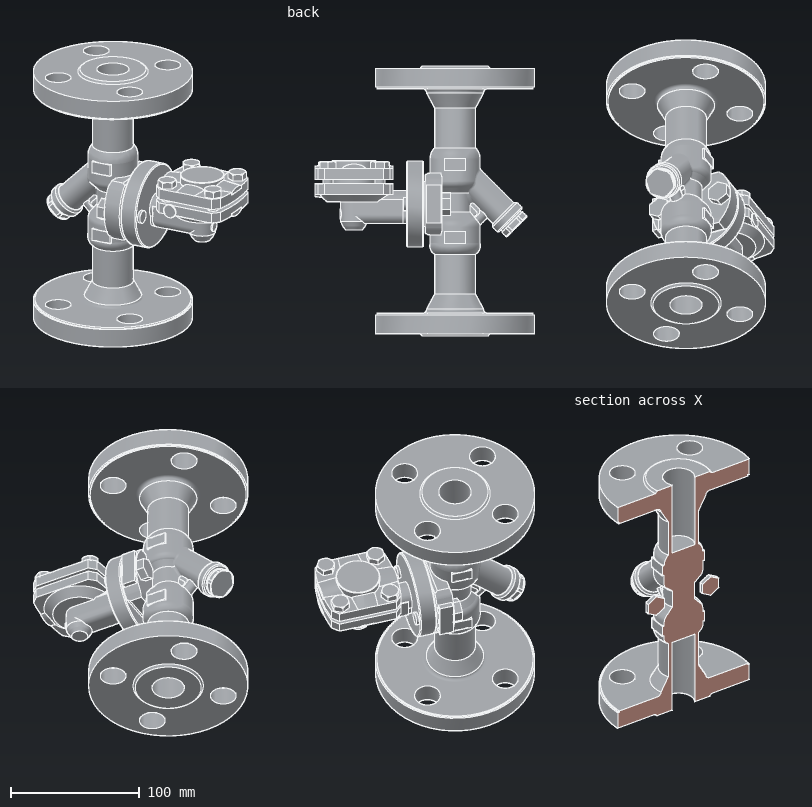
import cadquery as cq
import math

total_height = 210.0
pipe_dia = 32.0
bore_dia = 25.0
bore_depth = 63.0

flange_dia = 124.0
flange_thick = 16.0
flange_edge = 1.3
face_dia = 54.5
face_height = 1.9
face_chamfer = 1.7
flange_hole_dia = 20.0
flange_hole_offset = 31.5
hub_dia = 44.5
hub_root_dia = 50.8
hub_taper_end = 72.2

body_dia = 39.0
body_end = 41.4
body_shoulder = 33.0
upper_chamber_bottom = 15.8
lower_chamber_top = -20.5
neck_dia = 25.0
neck_top = 6.0
neck_bottom = -8.5
waist_r = 16.5
upper_waist_z = 10.3
lower_waist_z = -13.9
bend_r = 18.7
upper_bend_z = 12.4
lower_bend_z = -16.5
upper_end_bend_z = 37.4
lower_end_bend_z = -38.6
wrench_pad_width = 16.2
wrench_pad_reach = 19.7
wrench_pad_height = 9.5

branch_start_z = 28.0
branch_dia = 23.0
collar_dia = 27.0
plug_neck_dia = 21.0
plug_flat_width = 20.8
plug_dia = 22.7
plug_rim = 0.6
collar_start = 53.0
collar_end = 61.0
plug_start = 62.5
plug_end = 67.8
collar_lead_chamfer = 1.7
collar_chamfer = 1.0
branch_fillet = 2.0
bypass_dia = 9.5
bypass_offset = -16.0
bypass_start = 25.2
bypass_end = 40.5
bypass_end_fillet = 3.2
bypass_web_thick = 8.5
bridge_centre = (-21.0, 0, -10.5)
bridge_half_length = 8.5

branch_start = (0, 0, branch_start_z)
branch_direction = (-1, 0, -1)

joint_z = -2.3
joint_dia = 67.0
body_flange_start = 10.0
body_flange_end = 23.3
body_flange_diamond = 46.8
body_flange_corner_fillet = 12.5
body_flange_face_half = 20.4
body_flange_ridge_half = 24.0
body_flange_back_half = 22.7
ridge_start = 11.1
ridge_end = 21.0
pad_half_height = 15.0
pad_reach = 34.0
pad_inset = 1.0
gasket_dia = 35.0
trap_flange_start = 24.4
trap_flange_end = 37.8
trap_flange_chamfer = 0.8
joint_bolt_spacing = 50.8
joint_bolt_dia = 10.0
joint_head_width = 15.3
joint_head_height = 6.5
joint_bolt_end = 40.0

trap_x = 78.5
plate_half = 28.1
plate_bulge = 2.3
plate_corner = 5.0
upper_plate_bottom = 16.5
upper_plate_top = 25.2
lower_plate_bottom = 5.2
lower_plate_top = 13.5
trap_seat_dia = 33.0
cap_dia = 34.0
cap_top = 31.5
cap_chamfer = 0.5
cover_bolt_offset = 20.2
cover_spacer_dia = 8.0
cover_head_width = 12.5
cover_head_top = 30.7
rib_inner_width = 18.7
rib_outer_width = 16.0
rib_inner_radius = 14.7
rib_bow_height = 0.9
rib_edge_height = 0.1
upper_rib_inner_height = 2.0
lower_rib_inner_height = 1.8
head_chamfer = 0.8
base_cone_dia = 55.5
base_cone_end_dia = 42.0
base_cone_bottom = -0.6
tag_dia = 10.5
tag_x = 65.0
tag_z = 8.5
tag_height = 0.8

arm_width = 21.0
arm_top = 1.3
arm_bottom = -17.6
arm_fillet = 7.0
arm_start = 40.5
arm_neck_width = 18.0
arm_neck_fillet = 5.9
inlet_dia = 21.0
inlet_end = 63.0
boss_dia = 21.0
boss_straight_end = -16.0
boss_step_dia = 16.8
boss_step_z = -20.2
boss_tip_dia = 12.5
boss_tip_z = -22.7
outlet_pad_dia = 8.0
outlet_pad_z = -10.0
outlet_pad_height = 0.5


def cylinder_between(start, direction, from_dist, to_dist, dia):
    """Cylinder along a direction, between two distances from the start point."""
    plane = cq.Plane(origin=start, normal=direction)
    return cq.Workplane(plane).workplane(offset=from_dist).circle(dia / 2).extrude(to_dist - from_dist)


def hex_head(plane, flat_width, height, turn=0, chamfer=0.0):
    """Hexagonal head on a plane, with its free corners rounded off by a chamfered disc."""
    corner_dia = flat_width / math.cos(math.radians(30))
    head = cq.Workplane(plane).transformed(rotate=(0, 0, turn)).polygon(6, corner_dia).extrude(height)
    if chamfer:
        disc = cq.Workplane(plane).circle(corner_dia / 2).extrude(height)
        free_end = cq.selectors.DirectionMinMaxSelector(plane.zDir, True)
        head = head.intersect(disc.faces(free_end).chamfer(chamfer))
    return head


def end_flange():
    """Top end flange with its hub and raised face."""
    top = total_height / 2
    flange_top = top - face_height
    flange_bottom = flange_top - flange_thick
    radius = flange_dia / 2
    face_radius = face_dia / 2
    hub_radius = hub_dia / 2
    root_fillet = (hub_root_dia - hub_dia) / 2
    fillet_rise = root_fillet * (1 - math.sqrt(0.5))
    flange = (
        cq.Workplane("XZ")
        .moveTo(0, body_end)
        .lineTo(pipe_dia / 2, body_end)
        .lineTo(pipe_dia / 2, hub_taper_end)
        .lineTo(hub_radius, flange_bottom - root_fillet)
        .threePointArc(
            (hub_radius + fillet_rise, flange_bottom - fillet_rise),
            (hub_radius + root_fillet, flange_bottom),
        )
        .lineTo(radius - flange_edge, flange_bottom)
        .lineTo(radius - flange_edge, flange_bottom + flange_edge)
        .lineTo(radius, flange_bottom + flange_edge)
        .lineTo(radius, flange_top)
        .lineTo(face_radius, flange_top)
        .lineTo(face_radius - face_chamfer, top)
        .lineTo(0, top)
        .close()
        .revolve(360, (0, 0), (0, 1))
    )
    holes = (
        cq.Workplane("XY", origin=(0, 0, flange_bottom))
        .rect(2 * flange_hole_offset, 2 * flange_hole_offset, forConstruction=True)
        .vertices()
        .circle(flange_hole_dia / 2)
        .extrude(flange_thick)
    )
    return flange.cut(holes)


def turned_body():
    """Two rounded chambers joined by a narrow neck."""
    body_r = body_dia / 2
    pipe_r = pipe_dia / 2
    neck_r = neck_dia / 2
    return (
        cq.Workplane("XZ")
        .moveTo(0, -body_end)
        .lineTo(pipe_r, -body_end)
        .threePointArc((bend_r, lower_end_bend_z), (body_r, -body_shoulder))
        .lineTo(body_r, lower_chamber_top)
        .threePointArc((bend_r, lower_bend_z), (waist_r, lower_waist_z))
        .lineTo(neck_r, neck_bottom)
        .lineTo(neck_r, neck_top)
        .lineTo(waist_r, upper_waist_z)
        .threePointArc((bend_r, upper_bend_z), (body_r, upper_chamber_bottom))
        .lineTo(body_r, body_shoulder)
        .threePointArc((bend_r, upper_end_bend_z), (pipe_r, body_end))
        .lineTo(0, body_end)
        .close()
        .revolve(360, (0, 0), (0, 1))
    )


def wrench_pads():
    """One bar per chamber whose ends form the raised flat pads on the -Y and +Y sides."""
    bar = cq.Workplane("XY").box(wrench_pad_width, 2 * wrench_pad_reach, wrench_pad_height)
    middle = body_shoulder - wrench_pad_height / 2
    return bar.translate((0, 0, middle)).union(bar.translate((0, 0, -middle)))


def branched_body():
    """Turned body with the inclined branch tube, blended where the two meet."""
    tube = cylinder_between(branch_start, branch_direction, 0, collar_start, branch_dia)
    joined = turned_body().union(tube)
    joint_edges = [
        edge
        for edge in joined.edges().vals()
        if edge.geomType() not in ("LINE", "CIRCLE") and edge.Center().x < 0
    ]
    return joined.newObject(joint_edges).fillet(branch_fillet)


def strainer_fittings():
    """Collar and plug on the inclined branch, with the bypass passage and its bridge to the body."""
    start = branch_start
    direction = branch_direction
    plug_plane = cq.Plane(origin=start, xDir=(0, 1, 0), normal=direction)
    plug_plane.origin = plug_plane.toWorldCoords((0, 0, plug_start))
    collar = cylinder_between(start, direction, collar_start, collar_end, collar_dia)
    collar = collar.faces(">(-1, 0, -1)").edges().chamfer(collar_chamfer)
    collar = collar.faces("<(-1, 0, -1)").edges().chamfer(collar_lead_chamfer)
    plug_neck = cylinder_between(start, direction, collar_end, plug_start, plug_neck_dia)
    plug = hex_head(plug_plane, plug_flat_width, plug_end - plug_start, turn=30)
    plug = plug.intersect(cylinder_between(start, direction, plug_start, plug_end, plug_dia))
    plug = plug.union(cylinder_between(start, direction, plug_end - plug_rim, plug_end, plug_dia))

    shift = bypass_offset / math.sqrt(2)
    bypass_origin = (-shift, 0, branch_start_z + shift)
    bypass = cylinder_between(bypass_origin, direction, bypass_start, bypass_end, bypass_dia)
    bypass = bypass.faces("<(1, 0, 1)").edges().fillet(bypass_end_fillet)
    bridge = cylinder_between(bridge_centre, (1, 0, -1), -bridge_half_length, bridge_half_length, bypass_dia)
    web_outline = [(-19.0, -10.5), (-8.5, -16.8), (-8.5, 8.5), (-19.0, 0.0)]
    web = cq.Workplane("XZ").polyline(web_outline).close().extrude(bypass_web_thick / 2, both=True)
    return collar.union(plug_neck).union(plug).union(bypass).union(bridge).union(web)


def joint_bolt_places():
    """Y positions of the two bolts through the joint."""
    return (-joint_bolt_spacing / 2, joint_bolt_spacing / 2)


def joint_plane(x, direction=1):
    """Plane across the joint axis at a given X, with its normal along +X or -X."""
    return cq.Plane(origin=(x, 0, joint_z), xDir=(0, 1, 0), normal=(direction, 0, 0))


def body_flange():
    """Joint flange of the body: a disc cut to a diamond and to a ridged side outline."""
    length = body_flange_end - body_flange_start
    disc = cq.Workplane(joint_plane(body_flange_start)).circle(joint_dia / 2).extrude(length)
    diamond_outline = [
        (body_flange_diamond, 0),
        (0, body_flange_diamond),
        (-body_flange_diamond, 0),
        (0, -body_flange_diamond),
    ]
    diamond = cq.Workplane(joint_plane(body_flange_start)).polyline(diamond_outline).close().extrude(length)
    upper_side = [
        (body_flange_start, body_flange_face_half),
        (ridge_start, body_flange_ridge_half),
        (ridge_end, body_flange_ridge_half),
        (body_flange_end, body_flange_back_half),
    ]
    lower_side = [(x, -z) for x, z in reversed(upper_side)]
    ridge = (
        cq.Workplane("XZ", origin=(0, 0, joint_z))
        .polyline(upper_side + lower_side)
        .close()
        .extrude(joint_dia, both=True)
    )
    flange = disc.intersect(diamond).edges("|X").fillet(body_flange_corner_fillet).intersect(ridge)

    pad_length = length - 2 * pad_inset
    pad_depth = joint_dia / 4
    pad = cq.Workplane("XY").box(pad_length, pad_depth, 2 * pad_half_height).translate(
        (body_flange_start + length / 2, pad_reach - pad_depth / 2, joint_z)
    )
    flange = flange.union(pad)
    for y in joint_bolt_places():
        head_plane = joint_plane(body_flange_start, -1)
        head_plane.origin = cq.Vector(body_flange_start, y, joint_z)
        flange = flange.union(hex_head(head_plane, joint_head_width, joint_head_height, turn=30))
    return flange


def valve_body():
    """Pipe run with its flanges, strainer branch and joint flange, bored from both ends."""
    top_flange = end_flange()
    body = branched_body().union(wrench_pads())
    body = body.union(top_flange).union(top_flange.mirror("XY"))
    body = body.union(strainer_fittings()).union(body_flange())
    for end in (-1, 1):
        bore = (
            cq.Workplane("XY", origin=(0, 0, end * total_height / 2))
            .circle(bore_dia / 2)
            .extrude(-end * bore_depth)
        )
        body = body.cut(bore)
    return body


def plate(bottom, top):
    """Square trap plate with cut corners and slightly bowed -X and +X edges."""
    corner = plate_half - plate_corner
    bow = plate_half + plate_bulge
    return (
        cq.Workplane("XY", origin=(trap_x, 0, bottom))
        .moveTo(-corner, -plate_half)
        .lineTo(corner, -plate_half)
        .lineTo(plate_half, -corner)
        .threePointArc((bow, 0), (plate_half, corner))
        .lineTo(corner, plate_half)
        .lineTo(-corner, plate_half)
        .lineTo(-plate_half, corner)
        .threePointArc((-bow, 0), (-plate_half, -corner))
        .close()
        .extrude(top - bottom)
    )


def arched_rib(base_z, inner_height, up, outer_radius, outer_height, angle):
    """Arched rib running outwards from the trap axis and getting lower towards the plate edge.

    `up` is 1 for a rib on top of a plate and -1 for one below; the rib is rooted 1 unit into the plate.
    """
    root = base_z - up
    sections = [
        (rib_inner_radius, inner_height, rib_inner_width),
        (outer_radius, outer_height, rib_outer_width),
    ]
    rib = cq.Workplane("YZ", origin=(0, 0, root))
    previous = 0
    for radius, height, width in sections:
        half = width / 2
        rib = (
            rib.workplane(offset=radius - previous)
            .moveTo(-half, 0)
            .lineTo(-half, up)
            .threePointArc((0, up * (1 + height)), (half, up))
            .lineTo(half, 0)
            .close()
        )
        previous = radius
    rib = rib.loft(ruled=True)
    return rib.rotate((0, 0, 0), (0, 0, 1), angle).translate((trap_x, 0, 0))


def trap_plates():
    """Both plates with their ribs, cap, spacers and cover bolts."""
    trap = plate(lower_plate_bottom, lower_plate_top).union(plate(upper_plate_bottom, upper_plate_top))
    bow = plate_half + plate_bulge
    for angle in (0, 180):
        upper_rib = arched_rib(upper_plate_top, upper_rib_inner_height, 2, bow, rib_bow_height, angle)
        lower_rib = arched_rib(lower_plate_bottom, lower_rib_inner_height, -2, bow, rib_bow_height, angle)
        trap = trap.union(upper_rib).union(lower_rib)
    for angle in (90, 270):
        rib = arched_rib(upper_plate_top, upper_rib_inner_height, 2, plate_half, rib_edge_height, angle)
        trap = trap.union(rib)

    axis = cq.Workplane("XY", origin=(trap_x, 0, 0))
    seat = axis.workplane(offset=lower_plate_top).circle(trap_seat_dia / 2)
    trap = trap.union(seat.extrude(upper_plate_bottom - lower_plate_top))
    cap = axis.workplane(offset=upper_plate_top).circle(cap_dia / 2).extrude(cap_top - upper_plate_top)
    trap = trap.union(cap.faces(">Z").chamfer(cap_chamfer))
    cone = (
        axis.workplane(offset=base_cone_bottom)
        .circle(base_cone_end_dia / 2)
        .workplane(offset=lower_plate_bottom - base_cone_bottom)
        .circle(base_cone_dia / 2)
        .loft()
    )
    trap = trap.union(cone)

    for side_x in (-1, 1):
        for side_y in (-1, 1):
            x = trap_x + side_x * cover_bolt_offset
            y = side_y * cover_bolt_offset
            spacer = axis.workplane(offset=lower_plate_top).center(x - trap_x, y).circle(cover_spacer_dia / 2)
            spacer = spacer.extrude(upper_plate_bottom - lower_plate_top)
            head_plane = cq.Plane(origin=(x, y, upper_plate_top))
            turn = 30 if side_x == side_y else 0
            head_height = cover_head_top - upper_plate_top
            head = hex_head(head_plane, cover_head_width, head_height, turn, head_chamfer)
            trap = trap.union(spacer).union(head)

    tag_end = plate_half + tag_height
    tag = cylinder_between((tag_x, 0, tag_z), (0, -1, 0), plate_half - tag_height, tag_end, tag_dia)
    return trap.union(tag)


def trap_flange():
    """Round joint flange of the trap with its gasket face and bolt ends."""
    disc = cq.Workplane(joint_plane(trap_flange_start)).circle(joint_dia / 2)
    disc = disc.extrude(trap_flange_end - trap_flange_start).edges().chamfer(trap_flange_chamfer)
    gasket = cq.Workplane(joint_plane(body_flange_end)).circle(gasket_dia / 2)
    flange = disc.union(gasket.extrude(trap_flange_start - body_flange_end))
    for y in joint_bolt_places():
        start = (0, y, joint_z)
        bolt_end = cylinder_between(start, (1, 0, 0), trap_flange_start, joint_bolt_end, joint_bolt_dia)
        flange = flange.union(bolt_end)
    return flange


def arm_bar(start, end, width, fillet):
    """Bar along X with a rounded underside."""
    height = arm_top - arm_bottom
    bar = cq.Workplane("XY").box(end - start, width, height)
    bar = bar.translate(((start + end) / 2, 0, arm_bottom + height / 2))
    return bar.edges("|X and <Z").fillet(fillet)


def trap_arm():
    """Arm from the joint flange to the outlet boss below the plates."""
    arm = arm_bar(arm_start, trap_x, arm_width, arm_fillet)
    arm = arm.union(arm_bar(trap_flange_end, arm_start, arm_neck_width, arm_neck_fillet))
    inlet = cylinder_between((0, 0, joint_z), (1, 0, 0), trap_flange_end, inlet_end, inlet_dia)
    boss_outline = [
        (0, lower_plate_bottom),
        (boss_dia / 2, lower_plate_bottom),
        (boss_dia / 2, boss_straight_end),
        (boss_step_dia / 2, boss_step_z),
        (boss_tip_dia / 2, boss_tip_z),
        (0, boss_tip_z),
    ]
    boss = cq.Workplane("XZ").polyline(boss_outline).close().revolve(360, (0, 0), (0, 1))
    boss = boss.translate((trap_x, 0, 0))
    pad_end = trap_x + boss_dia / 2 + outlet_pad_height
    outlet_pad = cylinder_between((0, 0, outlet_pad_z), (1, 0, 0), trap_x, pad_end, outlet_pad_dia)
    return arm.union(inlet).union(boss).union(outlet_pad)


def steam_trap():
    """Joint flange, arm and bolted plates of the trap."""
    return trap_flange().union(trap_arm()).union(trap_plates())


body = valve_body()
trap = steam_trap()

result = cq.Compound.makeCompound([body.val(), trap.val()])